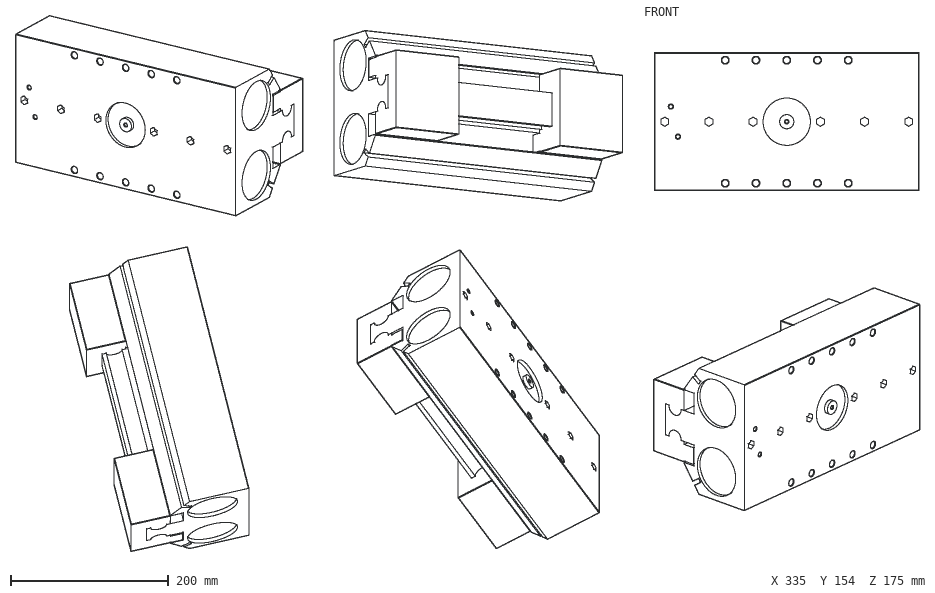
import cadquery as cq
import math

length = 335.0
total_depth = 154.0
edge_chamfer = 0.8

housing_height = 175.0
shoulder_y = 77.5
lip_y = 102.5
slope_angle = 55.0
rail_recess_floor_y = 85.5
rail_recess_height = 101.0

bore_diameter = 65.0
bore_y = 47.5
bore_z = 47.5
bore_depth = 5.0

slot_width = 5.5
slot_depth = 12.2

rail_front_y = 79.5
rail_back_y = 133.7
rail_height = 43.0
groove_diameter = 20.5
groove_y = 117.8
groove_z = 20.9

jaw_length = 92.5
jaw_height = 100.5
tongue_front_y = 86.5
tongue_inner_z = 25.5
tongue_outer_z = 48.6

drill_tip_angle = 118.0
tapped_diameter = 8.5
tapped_mouth = 10.0
tapped_depth = 20.0
tapped_pitch = 39.0
tapped_per_row = 5
tapped_row_z = 78.0

screw_head_diameter = 18.5
screw_head_height = 12.0
socket_flats = 10.0
socket_depth = 10.0
screw_pitch = 56.0
screw_inner_x = 42.7
screws_per_side = 3

port_diameter = 5.0
port_mouth = 6.6
port_depth = 10.0
port_places = [(-147.0, 19.2), (-138.0, -19.0)]

center_recess_diameter = 60.0
center_recess_depth = 5.0
center_boss_diameter = 18.0
center_hole_diameter = 4.0
center_hole_mouth = 5.6
center_hole_depth = 10.0


def box(x_range, y_range, z_range):
    """Box between the given lower and upper limits on each axis."""
    (x0, x1), (y0, y1), (z0, z1) = x_range, y_range, z_range
    return cq.Workplane("XY").box(x1 - x0, y1 - y0, z1 - z0, centered=False).translate((x0, y0, z0))


def full_length_box(y_range, z_range):
    return box((-length / 2, length / 2), y_range, z_range)


def x_cylinder(diameter, x_range, y, z):
    x0, x1 = x_range
    return cq.Workplane("YZ", origin=(x0, y, z)).circle(diameter / 2).extrude(x1 - x0)


def y_cylinder(diameter, depth, x, z):
    """Cylinder running from the mounting face into the housing."""
    return cq.Workplane("XZ", origin=(x, 0, z)).circle(diameter / 2).extrude(-depth)


def countersunk_hole(diameter, mouth, depth, x, z):
    """Drilled blind hole in the mounting face with a 45 degree countersink and a conical tip."""
    countersink = (mouth - diameter) / 2
    tip = diameter / 2 / math.tan(math.radians(drill_tip_angle / 2))
    profile = [
        (0, 0),
        (mouth / 2, 0),
        (diameter / 2, countersink),
        (diameter / 2, depth),
        (0, depth + tip),
    ]
    hole = cq.Workplane("XY").polyline(profile).close().revolve(360, (0, 0, 0), (0, 1, 0))
    return hole.translate((x, 0, z))


def housing_block():
    top_z = housing_height / 2
    lip_top_z = top_z - (lip_y - shoulder_y) * math.tan(math.radians(slope_angle))
    recess_z = rail_recess_height / 2
    upper_half = [
        (rail_recess_floor_y, recess_z),
        (lip_y, recess_z),
        (lip_y, lip_top_z),
        (shoulder_y, top_z),
        (0, top_z),
    ]
    lower_half = [(y, -z) for y, z in reversed(upper_half)]
    block = cq.Workplane("YZ", origin=(-length / 2, 0, 0))
    block = block.polyline(upper_half + lower_half).close().extrude(length)
    return block.faces("<Y").edges("|X").chamfer(edge_chamfer)


def sensor_slot(side):
    """Full-length slot normal to the upper (side=1) or lower (side=-1) slope."""
    slope = math.radians(slope_angle)
    outward_y = math.sin(slope)
    outward_z = math.cos(slope)
    shoulder_offset = (shoulder_y - bore_y) * outward_y + (housing_height / 2 - bore_z) * outward_z
    slot = full_length_box(
        (shoulder_offset - slot_depth, shoulder_offset + slot_depth),
        (-slot_width / 2, slot_width / 2),
    )
    slot = slot.rotate((0, 0, 0), (1, 0, 0), side * (90 - slope_angle))
    return slot.translate((0, bore_y, side * bore_z))


def end_bores():
    inner_x = length / 2 - bore_depth
    bores = cq.Workplane("XY")
    for x_range in [(-length / 2, -inner_x), (inner_x, length / 2)]:
        for z in (-bore_z, bore_z):
            bores = bores.add(x_cylinder(bore_diameter, x_range, bore_y, z))
    return bores.combine()


def groove_cylinders(x_range):
    """The two round bars that would fill the rail grooves over the given stretch."""
    lower = x_cylinder(groove_diameter, x_range, groove_y, -groove_z)
    upper = x_cylinder(groove_diameter, x_range, groove_y, groove_z)
    return lower.add(upper).combine()


def rail():
    """Guide rail along the housing, with a round groove along each long side."""
    body = full_length_box((rail_front_y, rail_back_y), (-rail_height / 2, rail_height / 2))
    return body.cut(groove_cylinders((-length / 2, length / 2)))


def cut_tapped_holes(body):
    first_x = -tapped_pitch * (tapped_per_row - 1) / 2
    for index in range(tapped_per_row):
        for z in (-tapped_row_z, tapped_row_z):
            x = first_x + index * tapped_pitch
            body = body.cut(countersunk_hole(tapped_diameter, tapped_mouth, tapped_depth, x, z))
    return body


def add_screw(body, x):
    """Socket head set flush in the mounting face."""
    head_space = y_cylinder(screw_head_diameter, screw_head_height, x, 0)
    socket = cq.Workplane("XZ").polygon(6, socket_flats, circumscribed=True).extrude(-socket_depth)
    socket = socket.translate((x, 0, 0))
    return body.cut(head_space, clean=False).union(head_space.cut(socket), clean=False)


def cut_center_recess(body):
    recess = y_cylinder(center_recess_diameter, center_recess_depth, 0, 0)
    boss = y_cylinder(center_boss_diameter, center_recess_depth, 0, 0)
    hole = countersunk_hole(center_hole_diameter, center_hole_mouth, center_hole_depth, 0, 0)
    return body.cut(recess.cut(boss)).cut(hole)


housing = housing_block().cut(end_bores())
for slope_side in (-1, 1):
    housing = housing.cut(sensor_slot(slope_side))
housing = cut_tapped_holes(housing)
for port_x, port_z in port_places:
    housing = housing.cut(countersunk_hole(port_diameter, port_mouth, port_depth, port_x, port_z))
housing = cut_center_recess(housing)

guide_rail = rail()
housing = housing.cut(guide_rail).union(guide_rail, clean=False)
for screw_side in (-1, 1):
    for screw_index in range(screws_per_side):
        screw_x = screw_side * (screw_inner_x + screw_index * screw_pitch)
        housing = add_screw(housing, screw_x)


def jaw():
    """Jaw at the -X end, wrapped round the rail, with its tongue on the lower side."""
    x_range = (-length / 2, -length / 2 + jaw_length)
    block = box(x_range, (lip_y, total_depth), (-jaw_height / 2, jaw_height / 2))
    block = block.faces("<Z or >Z").edges().chamfer(edge_chamfer)
    tongue = box(x_range, (tongue_front_y, lip_y + edge_chamfer), (-tongue_outer_z, -tongue_inner_z))
    tongue = tongue.faces("<Z").edges("|X").edges("<Y").chamfer(edge_chamfer)
    body = block.union(tongue).cut(guide_rail)

    bars = groove_cylinders(x_range)
    return body.cut(bars, clean=False).union(bars, clean=False)


jaws = []
for turn in (0, 180):
    jaws.append(jaw().rotate((0, 0, 0), (0, 1, 0), turn))

result = cq.Compound.makeCompound([housing.val(), *[body.val() for body in jaws]])